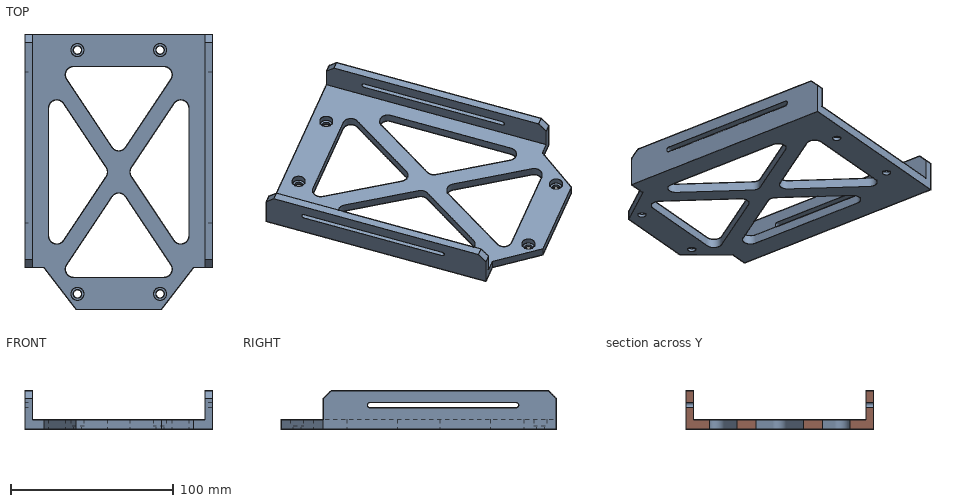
import cadquery as cq

WIDTH = 116.0
LENGTH = 170.0
HEIGHT = 24.0
FLOOR_THICKNESS = 6.0
WALL_THICKNESS = 4.8
WALL_LENGTH = 144.0
WALL_CHAMFER = 5.0

TONGUE_ROOT_WIDTH = 92.5
TONGUE_TIP_WIDTH = 52.5

WINDOW_WIDTH = 86.5
WINDOW_END_MARGIN = 20.0
BAR_WIDTH = 10.0
WINDOW_CORNER_RADIUS = 5.0

SCREW_SPACING_X = 51.0
SCREW_END_MARGIN = 9.75
SCREW_DIAMETER = 5.0
COUNTERBORE_DIAMETER = 8.0
COUNTERBORE_DEPTH = 4.0

SLOT_ARC_SPACING = 90.0
SLOT_HEIGHT = 3.2
SLOT_CENTER_FROM_BACK = 70.0
SLOT_CENTER_Z = 15.0

BACK_Y = LENGTH / 2
FRONT_Y = -LENGTH / 2
WALL_FRONT_Y = BACK_Y - WALL_LENGTH
WINDOW_LENGTH = LENGTH - 2 * WINDOW_END_MARGIN
SIDES = (-1, 1)


def make_floor():
    """Flat floor with the tapered tongue at the front."""
    half_outline = [
        (0, BACK_Y),
        (WIDTH / 2, BACK_Y),
        (WIDTH / 2, WALL_FRONT_Y),
        (TONGUE_ROOT_WIDTH / 2, WALL_FRONT_Y),
        (TONGUE_TIP_WIDTH / 2, FRONT_Y),
        (0, FRONT_Y),
    ]
    return cq.Workplane("XY").polyline(half_outline).mirrorY().extrude(FLOOR_THICKNESS)


def make_wall(side):
    """Upright side wall with chamfered top corners."""
    wall = (
        cq.Workplane("XY")
        .box(WALL_THICKNESS, WALL_LENGTH, HEIGHT, centered=(True, True, False))
        .faces(">Z")
        .edges("|X")
        .chamfer(WALL_CHAMFER)
    )
    center_x = side * (WIDTH - WALL_THICKNESS) / 2
    return wall.translate((center_x, BACK_Y - WALL_LENGTH / 2, 0))


def make_wall_slot():
    """Round-ended slot cutter that runs across both walls."""
    return (
        cq.Workplane("YZ")
        .center(BACK_Y - SLOT_CENTER_FROM_BACK, SLOT_CENTER_Z)
        .slot2D(SLOT_ARC_SPACING + SLOT_HEIGHT, SLOT_HEIGHT)
        .extrude(WIDTH / 2, both=True)
    )


def make_window_openings():
    """Four rounded triangles left in the window between the diagonal bars."""
    openings = cq.Workplane("XY").box(
        WINDOW_WIDTH, WINDOW_LENGTH, FLOOR_THICKNESS, centered=(True, True, False)
    )
    for side in SIDES:
        bar_direction = cq.Vector(side * WINDOW_WIDTH, WINDOW_LENGTH, 0)
        bar_plane = cq.Plane(origin=(0, 0, 0), xDir=bar_direction, normal=(0, 0, 1))
        bar = cq.Workplane(bar_plane).rect(2 * bar_direction.Length, BAR_WIDTH).extrude(FLOOR_THICKNESS)
        openings = openings.cut(bar)
    return openings.edges("|Z").fillet(WINDOW_CORNER_RADIUS)


def drill_screw_holes(body):
    """Counterbored through holes near the four corners."""
    return (
        body.faces(">Z")
        .workplane(origin=(0, 0, FLOOR_THICKNESS))
        .rect(SCREW_SPACING_X, LENGTH - 2 * SCREW_END_MARGIN, forConstruction=True)
        .vertices()
        .cboreHole(SCREW_DIAMETER, COUNTERBORE_DIAMETER, COUNTERBORE_DEPTH)
    )


tray = drill_screw_holes(make_floor().cut(make_window_openings()))
for wall_side in SIDES:
    tray = tray.union(make_wall(wall_side))
result = tray.cut(make_wall_slot())